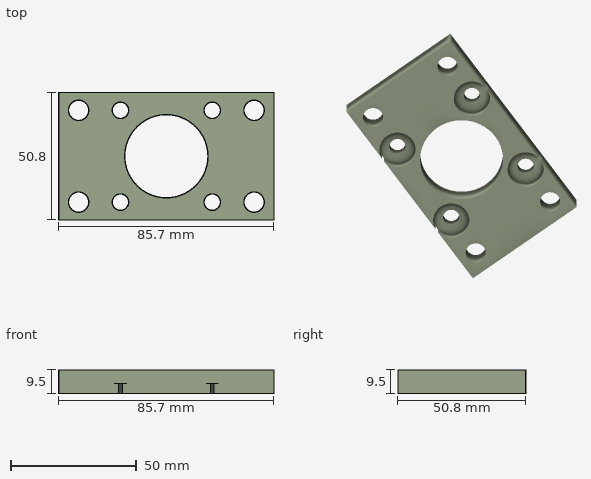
import cadquery as cq

length = 85.7
width = 50.8
thickness = 9.5

bore_diameter = 33.0
corner_hole_diameter = 8.0
corner_hole_spacing = 69.8
screw_hole_diameter = 6.4
screw_hole_spacing = 36.5

side_breakout = 0.04
edge_distance = (width - screw_hole_spacing) / 2
recess_diameter = 2 * (edge_distance + side_breakout)
recess_depth = 4.0


def cylinders(spacing_x, diameter, height):
    """Four upright cylinders on a centred rectangle, rising from the underside."""
    return (
        cq.Workplane("XY")
        .rect(spacing_x, screw_hole_spacing, forConstruction=True)
        .vertices()
        .circle(diameter / 2)
        .extrude(height)
    )


plate = cq.Workplane("XY").box(length, width, thickness, centered=(True, True, False))
bore = cq.Workplane("XY").circle(bore_diameter / 2).extrude(thickness)
corner_holes = cylinders(corner_hole_spacing, corner_hole_diameter, thickness)
screw_holes = cylinders(screw_hole_spacing, screw_hole_diameter, thickness)
screw_recesses = cylinders(screw_hole_spacing, recess_diameter, recess_depth)

result = plate.cut(bore).cut(corner_holes).cut(screw_holes).cut(screw_recesses)